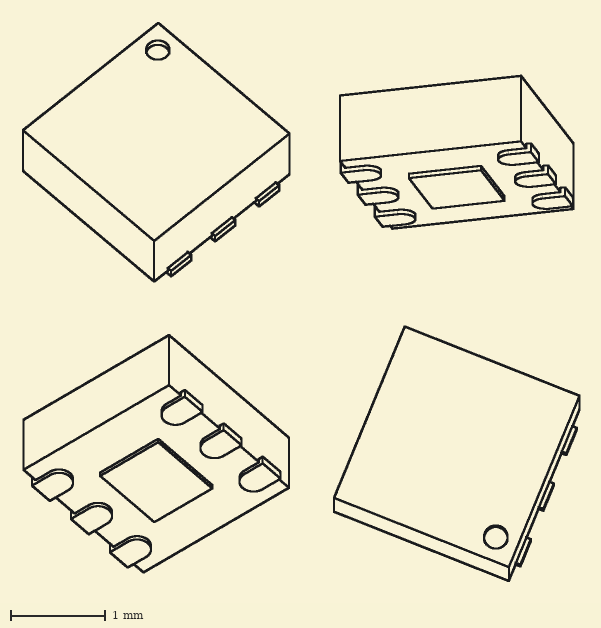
import cadquery as cq

lead_span = 2.1
housing_side = 2.0
total_height = 0.8
standoff = 0.05

marker_diameter = 0.25
marker_edge_distance = 0.25
marker_depth = 0.08

leads_per_side = 3
lead_pitch = 0.649
lead_width = 0.298
lead_length = 0.4
lead_thickness = 0.1

pad_length_x = 0.795
pad_length_y = 0.9


def make_lead(side, y_center):
    """Lead on the +X (side = 1) or -X (side = -1) edge, resting on Z = 0."""
    half_width = lead_width / 2
    outer_x = side * lead_span / 2
    tip_x = side * (lead_span / 2 - lead_length)
    arc_start_x = tip_x + side * half_width
    return (
        cq.Workplane("XY")
        .moveTo(outer_x, y_center - half_width)
        .lineTo(arc_start_x, y_center - half_width)
        .threePointArc((tip_x, y_center), (arc_start_x, y_center + half_width))
        .lineTo(outer_x, y_center + half_width)
        .close()
        .extrude(lead_thickness)
    )


def make_housing(leads):
    """Block with the marker recess and a matching pocket for every lead."""
    marker_offset = housing_side / 2 - marker_edge_distance
    housing = (
        cq.Workplane("XY", origin=(0, 0, standoff))
        .rect(housing_side, housing_side)
        .extrude(total_height - standoff)
    )
    marker = (
        cq.Workplane("XY", origin=(-marker_offset, marker_offset, total_height - marker_depth))
        .circle(marker_diameter / 2)
        .extrude(marker_depth)
    )
    housing = housing.cut(marker)
    for lead in leads:
        housing = housing.cut(lead)
    return housing


def make_thermal_pad():
    """Flat pad filling the gap between the seating plane and the housing."""
    return cq.Workplane("XY").rect(pad_length_x, pad_length_y).extrude(standoff)


leads = []
for side in (-1, 1):
    for row in range(leads_per_side):
        row_y = (row - (leads_per_side - 1) / 2) * lead_pitch
        leads.append(make_lead(side, row_y))

housing = make_housing(leads)
thermal_pad = make_thermal_pad()

result = cq.Compound.makeCompound(
    [housing.val(), thermal_pad.val(), *[lead.val() for lead in leads]]
)